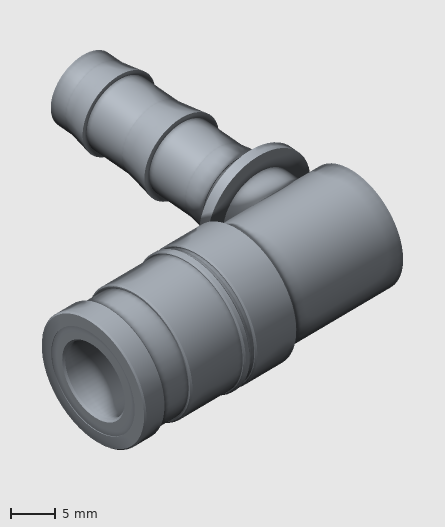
import cadquery as cq


plug_max_radius = 9.1
tip_x = plug_max_radius - 48.1
hose_radius = 5.0
neck_radius = 5.55
bore_radius = 3.0
barbs = [
    (2.45, 6.0, 5.65),
    (11.95, 16.5, 5.75),
    (22.5, 26.0, 5.65),
]
neck_start = barbs[-1][1]
flange_radius = 8.0
flange_start = 28.0
flange_width = 1.4

plug_length = 40.6
plug_end_y = flange_radius - 42.5
tube_radius = flange_radius
sleeve_radius = 8.75
waist_radius = 8.25
lip_width = 3.17
waist_end = 7.1
sleeve_end = 15.05
ring_width = 0.95
groove_end = 16.85
groove_floor_width = 0.4
collar_end = 23.25
edge_chamfer = 0.2

socket_radius = 5.0
socket_chamfer = 0.25
socket_depth = 15.4
inner_radius = 3.5
inner_end_y = inner_radius
face_recess_radius = 6.97
face_recess_depth = 0.1


def x_cylinder(radius, start, length):
    """Cylinder on the hose axis, starting at a distance from the tip."""
    return cq.Workplane("YZ", origin=(tip_x + start, 0, 0)).circle(radius).extrude(length)


def plug_cylinder(radius, start, end):
    """Cylinder on the plug axis between two distances from the open end."""
    plane = cq.Plane(origin=(0, plug_end_y + start, 0), xDir=(1, 0, 0), normal=(0, 1, 0))
    return cq.Workplane(plane).circle(radius).extrude(end - start)


def chamfered_band(radius, start, end):
    return plug_cylinder(radius, start, end).edges().chamfer(edge_chamfer)


def barb(start, end, crest_radius):
    """Cone widening from the hose surface to a sharp crest."""
    profile = [
        (tip_x + start, 0),
        (tip_x + start, hose_radius),
        (tip_x + end, crest_radius),
        (tip_x + end, 0),
    ]
    return cq.Workplane("XY").polyline(profile).close().revolve(360, (0, 0, 0), (1, 0, 0))


def hose_tail():
    tail = x_cylinder(hose_radius, 0, -tip_x)
    for start, end, crest_radius in barbs:
        tail = tail.union(barb(start, end, crest_radius))
    tail = tail.union(x_cylinder(neck_radius, neck_start, -tip_x - neck_start))
    return tail.union(x_cylinder(flange_radius, flange_start, flange_width))


def groove_slope():
    """Cone between the ring crest and the groove floor."""
    ring_end = sleeve_end + ring_width
    profile = [
        (0, plug_end_y + ring_end),
        (plug_max_radius - edge_chamfer, plug_end_y + ring_end),
        (sleeve_radius, plug_end_y + groove_end - groove_floor_width),
        (0, plug_end_y + groove_end - groove_floor_width),
    ]
    return cq.Workplane("XY").polyline(profile).close().revolve(360, (0, 0, 0), (0, 1, 0))


def plug():
    body = plug_cylinder(tube_radius, 0, plug_length)
    body = body.union(chamfered_band(sleeve_radius, 0, lip_width))
    body = body.union(plug_cylinder(waist_radius, lip_width, waist_end))
    body = body.union(chamfered_band(sleeve_radius, waist_end, sleeve_end + ring_width))
    body = body.union(plug_cylinder(sleeve_radius, sleeve_end, groove_end))
    body = body.union(chamfered_band(plug_max_radius, sleeve_end, sleeve_end + ring_width))
    body = body.union(groove_slope())
    return body.union(chamfered_band(plug_max_radius, groove_end, collar_end))


def socket():
    """Stepped blind bore with a chamfered mouth and a shallow face recess."""
    mouth_y = plug_end_y + face_recess_depth
    mouth = cq.Workplane(
        cq.Solid.makeCone(
            socket_radius + socket_chamfer,
            socket_radius,
            socket_chamfer,
            pnt=cq.Vector(0, mouth_y, 0),
            dir=cq.Vector(0, 1, 0),
        )
    )
    cut = plug_cylinder(socket_radius, 0, socket_depth).union(mouth)
    cut = cut.union(plug_cylinder(inner_radius, 0, inner_end_y - plug_end_y))
    return cut.union(plug_cylinder(face_recess_radius, 0, face_recess_depth))


hose_bore = x_cylinder(bore_radius, 0, -tip_x)
result = hose_tail().union(plug()).cut(socket()).cut(hose_bore)